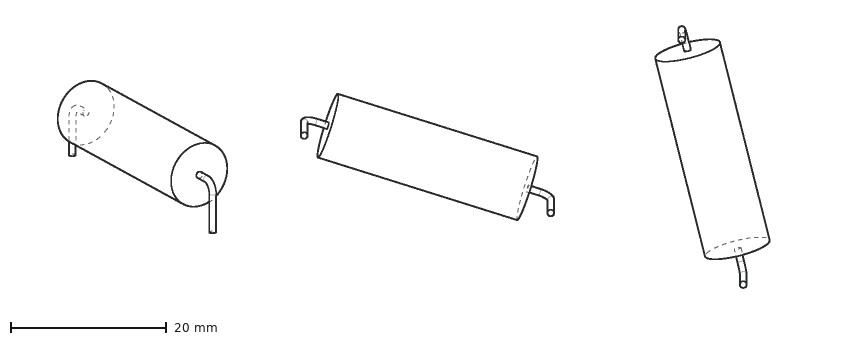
import cadquery as cq

overall_length = 34.3
overall_height = 11.15

body_diameter = 8.6
body_length = 27.0

lead_diameter = 0.9
bend_radius = 1.55

body_end_x = body_length / 2
lead_x = (overall_length - lead_diameter) / 2
bend_start_x = lead_x - bend_radius
lead_bottom_z = body_diameter / 2 - overall_height


def make_body():
    """Plain cylinder centred on the origin."""
    return cq.Workplane("YZ", origin=(-body_end_x, 0, 0)).circle(body_diameter / 2).extrude(body_length)


def make_lead(side):
    """Wire that leaves an end face of the body and bends down; side is -1 or +1 along X."""
    bend_centre = cq.Vector(side * bend_start_x, -bend_radius)
    bend_middle = bend_centre + cq.Vector(side, 1).normalized() * bend_radius
    path = (
        cq.Workplane("XZ")
        .moveTo(side * body_end_x, 0)
        .lineTo(side * bend_start_x, 0)
        .threePointArc((bend_middle.x, bend_middle.y), (side * lead_x, -bend_radius))
        .lineTo(side * lead_x, lead_bottom_z)
    )
    return cq.Workplane("YZ", origin=(side * body_end_x, 0, 0)).circle(lead_diameter / 2).sweep(path)


body = make_body()
leads = [make_lead(side) for side in (-1, 1)]

result = cq.Compound.makeCompound([body.val(), *[lead.val() for lead in leads]])